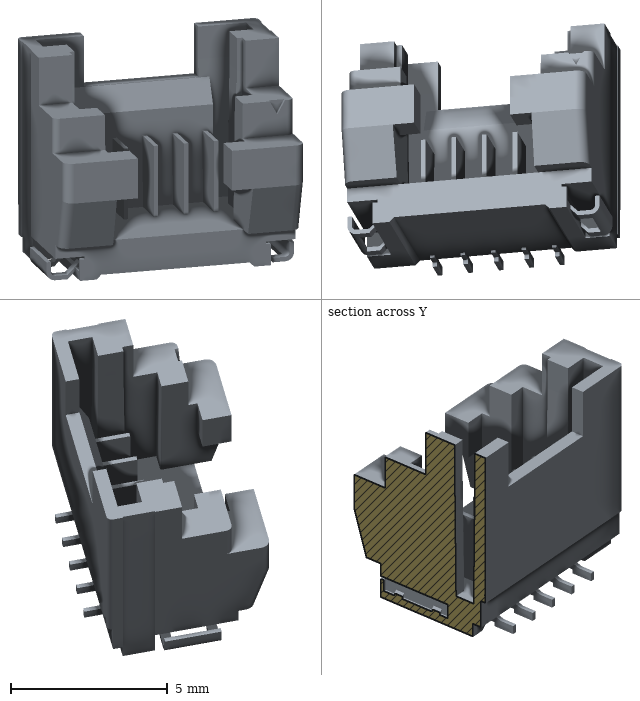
import cadquery as cq
import math


overlap = 0.08

half_width = 4.0
top_z = 7.05
base_z = 0.08
tier_top_z = 5.47
lug_top_z = 4.31
lug_bend_z = 2.99
front_foot_z = 1.35
plinth_top_z = 1.55
plinth_bottom_z = 0.56
top_front_x = 2.44
tier_front_x = 4.11
front_x = 5.355
front_toe_x = 4.86
foot_front_x = 4.29
foot_rear_x = 0.5
plinth_x = 0.18
rear_radius = 0.17
tier_radius = 0.215
front_radius = 0.305

band_front_x = 1.56
band_depth = 0.03

floor_z = front_foot_z
wall_taper_top_z = 5.97
draft = 0.053
draft_angle = math.degrees(math.atan(draft / (wall_taper_top_z - floor_z)))
cavity_rear_x = 0.445
side_slot_y = 3.51
side_slot_front_x = 1.245
shoulder_y = 2.71
recess_rear_x = 2.08
recess_front_x = 3.23
recess_y = 2.89
mouth_y = 2.3

lug_rear_x = 4.405
lug_inner_y = 1.57

rear_gap_y = 1.905
rear_gap_z = 5.38
ledge_slope_drop = 0.825
ledge_front_x = 0.85
ledge_half_width = 2.28

side_undercut_z = 0.88
side_undercut_y = 3.18
pocket_y = 3.01
pocket_bottom_z = 0.38
pocket_front_x = 4.14
pocket_lip_z = 0.79
arch_z = 0.23
arch_top_y = 2.475
arch_bottom_y = 2.62

arrow_y = 3.45
arrow_half_width = 0.255
arrow_height = 0.445
arrow_rear_x = 3.985

pin_count = 5
pin_pitch = 1.0
pin_width = 0.15
tail_tip_x = -0.31
tail_heel_x = 0.445
tail_top_z = 0.3
tail_inner_bottom_z = 0.15
tail_inner_top_z = 0.41
blade_rear_x = ledge_front_x
blade_front_x = 2.12
blade_top_z = 3.71

tab_outer_y = 4.125
tab_thickness = 0.15
tab_rear_x = 1.86
tab_front_x = 3.71
tab_leg_width = 0.33
tab_top_z = 0.62
tab_bend_radius = 0.3
tab_flat_end_y = 3.415
tab_anchor_y = 2.97


def box(x0, x1, y0, y1, z0, z1):
    return cq.Workplane("XY").box(x1 - x0, y1 - y0, z1 - z0, centered=False).translate((x0, y0, z0))


def side_plate(points, y_center, width):
    """Extrude an XZ outline to the given width, centred on y_center."""
    plate = cq.Workplane("XZ").polyline(points).close().extrude(width / 2, both=True)
    return plate.translate((0, y_center, 0))


def both_sides(shape):
    """Add the mirror image across the XZ plane."""
    return shape.union(shape.mirror("XZ"))


def corner_edges(x0, x1, z0, z1):
    """Select the upright edges on both side faces within an X and Z range."""
    margin = 0.01

    def edges_near(y):
        low = (x0 - margin, y - margin, z0 - margin)
        high = (x1 + margin, y + margin, z1 + margin)
        return cq.selectors.BoxSelector(low, high, boundingbox=True)

    return edges_near(-half_width) + edges_near(half_width)


def housing_block():
    outline = [
        (0, top_z), (top_front_x, top_z),
        (top_front_x, tier_top_z), (tier_front_x, tier_top_z),
        (tier_front_x, lug_top_z), (front_x, lug_top_z),
        (front_x, lug_bend_z), (front_toe_x, front_foot_z),
        (foot_front_x, front_foot_z), (foot_front_x, base_z),
        (foot_rear_x, base_z), (foot_rear_x, plinth_bottom_z),
        (plinth_x, plinth_bottom_z), (plinth_x, plinth_top_z), (0, plinth_top_z),
    ]
    block = side_plate(outline, 0, 2 * half_width)

    block = block.edges(corner_edges(0, 0, plinth_top_z, top_z)).fillet(rear_radius)
    block = block.edges(corner_edges(tier_front_x, tier_front_x, lug_top_z, tier_top_z)).fillet(tier_radius)
    return block.edges(corner_edges(front_toe_x, front_x, front_foot_z, lug_top_z)).fillet(front_radius)


def side_bands():
    band_y = half_width - band_depth
    return both_sides(box(foot_rear_x, band_front_x, band_y, half_width + overlap, 0, top_z + overlap))


def cavity():
    """Draughted socket, straight-sided near the top and open through the front."""
    mouth_x = front_x + overlap
    half_outline = [
        (cavity_rear_x, side_slot_y), (side_slot_front_x, side_slot_y),
        (side_slot_front_x, shoulder_y), (recess_rear_x, shoulder_y),
        (recess_rear_x, recess_y), (recess_front_x, recess_y),
        (recess_front_x, mouth_y), (mouth_x, mouth_y),
    ]
    outline = half_outline + [(x, -y) for x, y in reversed(half_outline)]
    start = cq.Workplane("XY", origin=(0, 0, wall_taper_top_z))
    straight = start.polyline(outline).close().extrude(top_z + overlap - wall_taper_top_z)
    tapered = start.polyline(outline).close().extrude(floor_z - wall_taper_top_z, taper=draft_angle)
    return straight.union(tapered)


def latch_lugs():
    return both_sides(box(lug_rear_x, front_x, lug_inner_y, mouth_y + 2 * overlap, lug_bend_z, lug_top_z))


def ledge():
    """Block behind the contacts, with a top that slopes down from the rear wall."""
    slope_bottom_z = rear_gap_z - ledge_slope_drop
    ledge_foot_x = ledge_front_x + draft
    outline = [
        (cavity_rear_x, rear_gap_z), (ledge_front_x, slope_bottom_z),
        (ledge_foot_x, floor_z), (cavity_rear_x, floor_z),
    ]
    return side_plate(outline, 0, 2 * ledge_half_width)


def underside_cuts():
    """Side undercuts with deeper pockets over the solder tabs, and the central arch."""
    front_end_x = foot_front_x + overlap
    undercut = box(band_front_x, front_end_x, side_undercut_y, half_width + overlap, 0, side_undercut_z)
    pocket_outline = [
        (band_front_x, pocket_bottom_z), (pocket_front_x, pocket_bottom_z),
        (pocket_front_x, pocket_lip_z), (front_end_x, pocket_lip_z),
        (front_end_x, side_undercut_z), (band_front_x, side_undercut_z),
    ]
    pocket_depth = side_undercut_y - pocket_y
    pocket = side_plate(pocket_outline, pocket_y + pocket_depth / 2, pocket_depth)
    arch_points = [
        (-arch_bottom_y, base_z), (-arch_top_y, arch_z), (arch_top_y, arch_z), (arch_bottom_y, base_z),
    ]
    arch = cq.Workplane("YZ").polyline(arch_points).close().extrude(front_end_x)
    return both_sides(undercut.union(pocket)).union(arch)


def arrow_notch():
    points = [
        (arrow_y - arrow_half_width, tier_top_z), (arrow_y + arrow_half_width, tier_top_z),
        (arrow_y, tier_top_z - arrow_height),
    ]
    face = cq.Workplane("YZ", origin=(arrow_rear_x, 0, 0)).polyline(points).close()
    return face.extrude(tier_front_x - arrow_rear_x)


def contact(y):
    tail_outline = [
        (tail_tip_x, 0), (tail_heel_x, 0), (tail_heel_x, tail_inner_bottom_z),
        (blade_rear_x, tail_inner_bottom_z), (blade_rear_x, tail_inner_top_z),
        (foot_rear_x, tail_inner_top_z), (plinth_x, tail_top_z), (tail_tip_x, tail_top_z),
    ]
    tail = side_plate(tail_outline, y, pin_width)
    blade_outline = [
        (blade_rear_x, floor_z - overlap), (blade_front_x, floor_z - overlap),
        (blade_front_x, blade_top_z), (blade_rear_x, blade_top_z),
    ]
    blade = side_plate(blade_outline, y, pin_width)
    return tail.union(blade)


def solder_tab():
    """Upright plate bent under to a flat foot, joined to the housing by two legs."""
    inner_y = tab_outer_y - tab_thickness
    inner_radius = tab_bend_radius - tab_thickness
    bend_y = tab_outer_y - tab_bend_radius
    diagonal = math.sqrt(0.5)
    anchor_z = tab_flat_end_y - tab_anchor_y
    profile = (
        cq.Workplane("YZ", origin=(tab_rear_x, 0, 0))
        .moveTo(tab_outer_y, tab_top_z)
        .lineTo(tab_outer_y, tab_bend_radius)
        .threePointArc(
            (bend_y + tab_bend_radius * diagonal, tab_bend_radius * (1 - diagonal)), (bend_y, 0))
        .lineTo(tab_flat_end_y, 0)
        .lineTo(tab_anchor_y, anchor_z)
        .lineTo(tab_anchor_y, anchor_z + tab_thickness)
        .lineTo(tab_flat_end_y, tab_thickness)
        .lineTo(bend_y, tab_thickness)
        .threePointArc(
            (bend_y + inner_radius * diagonal, tab_bend_radius - inner_radius * diagonal),
            (inner_y, tab_bend_radius))
        .lineTo(inner_y, tab_top_z)
        .close()
    )
    window = box(tab_rear_x + tab_leg_width, tab_front_x - tab_leg_width, 0, bend_y, -overlap, tab_top_z)
    return profile.extrude(tab_front_x - tab_rear_x).cut(window)


def rear_gap():
    rear_gap_front_x = cavity_rear_x + overlap
    return box(-overlap, rear_gap_front_x, -rear_gap_y, rear_gap_y, rear_gap_z, top_z + overlap)


housing = housing_block().cut(side_bands()).cut(cavity()).cut(rear_gap())
housing = housing.union(latch_lugs()).union(ledge())
housing = housing.cut(underside_cuts()).cut(arrow_notch())

result = housing.union(both_sides(solder_tab()))
for index in range(pin_count):
    result = result.union(contact((index - (pin_count - 1) / 2) * pin_pitch))